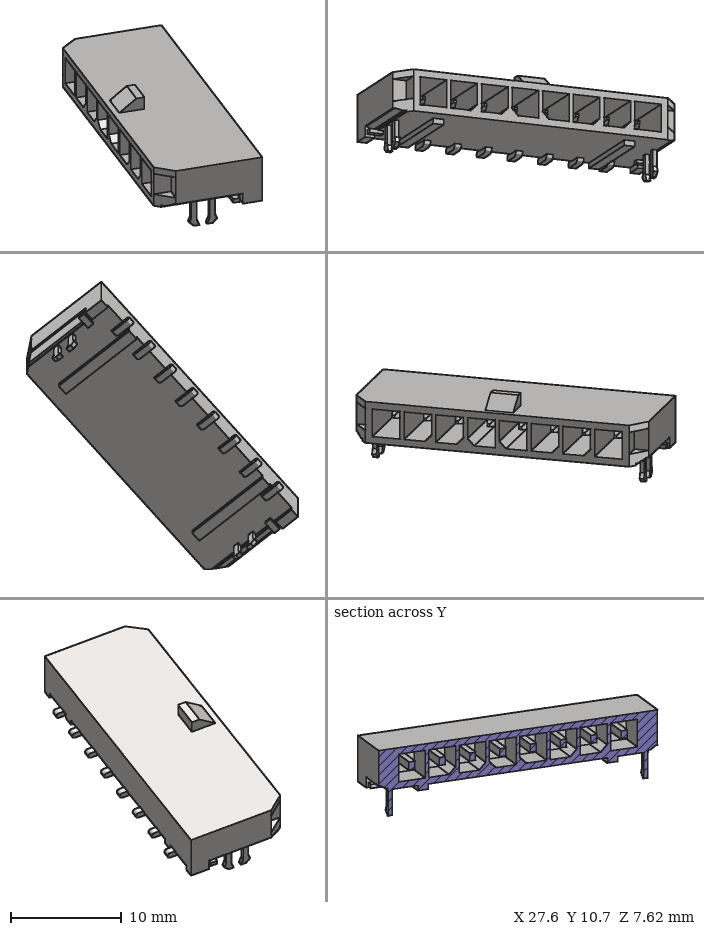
import cadquery as cq


housing_length = 27.65
housing_depth = 9.92
housing_top = 4.42
floor_z = 0.5
half_length = housing_length / 2

corner_x = 1.35
corner_y = 1.65
corner_pocket_bottom = 1.69

side_wall = 0.9
foot_front_y = 8.07
undercut_outer_z = 1.02
undercut_inner_z = 0.65
undercut_lip = 0.15
undercut_slope = 0.55

rib_offset = 9.37
rib_width = 1.02
rib_front_y = 1.58

contact_count = 8
contact_row_span = 21.0
contact_pitch = contact_row_span / (contact_count - 1)
cavity_size = 2.6
cavity_bottom = 1.15
cavity_depth = 7.75
cavity_chamfer = 0.64
cavity_top = cavity_bottom + cavity_size
chamfer_sides = [0, 1, 1, -1, -1, 1, 1, 0]

pin_width = 0.64
pin_height = 0.64
shoulder_height = 0.8
shoulder_front_y = 3.32
pin_center_z = 2.52
pin_front_y = 2.2
pin_tip_length = 0.7
pin_tip_scale = 0.4
tail_end_y = 10.7
tail_height = 0.58
leg_front_y = 8.57
bend_radius = 0.55

latch_width = 2.63
latch_height = 1.2
latch_front_y = 0.6
latch_crest_y = 2.25
latch_rear_y = 3.0

lock_thickness = 0.41
lock_outer_x = 12.85
lock_root_z = 1.1
prong_tip_z = -2.0
prong_center_y = 4.62
prong_inner_offset = 0.6
prong_width = 0.53
barb_start_z = -1.08
barb_z = -1.58
barb_reach = 0.2
prong_kink_z = -1.38
tip_shift = 0.25
tab_front_y = 7.2
tab_width = 0.64
tab_bottom_z = 0.2
tab_height = 0.4
tab_length = 0.88


def block(x_range, y_range, z_range):
    """Axis-aligned block between pairs of coordinates."""
    sizes = [end - start for start, end in (x_range, y_range, z_range)]
    corner = (x_range[0], y_range[0], z_range[0])
    return cq.Workplane("XY").box(*sizes, centered=False).translate(corner)


def side_profile(points, x_start, width):
    """Closed (y, z) outline extruded toward +X."""
    return cq.Workplane("YZ", origin=(x_start, 0, 0)).polyline(points).close().extrude(width)


def both_ends(left):
    """The left-hand shape together with its mirror image at the right."""
    return left.union(left.mirror("YZ"))


def housing():
    """Plain block with the two front corners cut off."""
    outline = [
        (-half_length, housing_depth),
        (-half_length, corner_y),
        (-half_length + corner_x, 0),
        (half_length - corner_x, 0),
        (half_length, corner_y),
        (half_length, housing_depth),
    ]
    body = cq.Workplane("XY", origin=(0, 0, floor_z)).polyline(outline).close()
    return body.extrude(housing_top - floor_z)


def corner_pocket():
    """Hollow in the cut corner, open to the front and side."""
    return block(
        (-half_length, -half_length + corner_x),
        (0, corner_y),
        (corner_pocket_bottom, cavity_top),
    )


def undercut():
    """Side recess with a sloped roof, running forward from the rear foot."""
    inner_x = -half_length + side_wall
    slope_start_x = -half_length + undercut_lip
    outline = [
        (-half_length, floor_z),
        (-half_length, undercut_outer_z),
        (slope_start_x, undercut_outer_z),
        (slope_start_x + undercut_slope, undercut_inner_z),
        (inner_x, undercut_inner_z),
        (inner_x, floor_z),
    ]
    return cq.Workplane("XZ").polyline(outline).close().extrude(-foot_front_y)


def rear_foot():
    return block(
        (-half_length, -half_length + side_wall),
        (foot_front_y, housing_depth),
        (0, floor_z),
    )


def standoff_rib():
    return block(
        (-rib_offset - rib_width / 2, -rib_offset + rib_width / 2),
        (rib_front_y, housing_depth),
        (0, floor_z),
    )


def cavity(center_x, chamfer_side):
    """Square contact cavity with an optional keyed lower corner."""
    half = cavity_size / 2
    cut = block(
        (center_x - half, center_x + half),
        (0, cavity_depth),
        (cavity_bottom, cavity_top),
    )
    if chamfer_side:
        lower_edge = ">X and <Z" if chamfer_side > 0 else "<X and <Z"
        cut = cut.edges("|Y").edges(lower_edge).chamfer(cavity_chamfer)
    return cut


def contact(center_x):
    """Tapered mating pin, vertical leg and rounded solder tail."""
    left_x = center_x - pin_width / 2
    right_x = center_x + pin_width / 2
    shank_front_y = pin_front_y + pin_tip_length
    shank = block(
        (left_x, right_x),
        (shank_front_y, shoulder_front_y),
        (pin_center_z - pin_height / 2, pin_center_z + pin_height / 2),
    )
    shoulder = block(
        (left_x, right_x),
        (shoulder_front_y, leg_front_y + tail_height),
        (pin_center_z - shoulder_height / 2, pin_center_z + shoulder_height / 2),
    )
    tip = (
        cq.Workplane("XZ", origin=(center_x, shank_front_y, pin_center_z))
        .rect(pin_width, pin_height)
        .workplane(offset=pin_tip_length)
        .rect(pin_width * pin_tip_scale, pin_height * pin_tip_scale)
        .loft()
    )
    leg = block((left_x, right_x), (leg_front_y, leg_front_y + tail_height), (0, pin_center_z))
    leg = leg.edges("<Y and <Z").fillet(bend_radius)
    tail_radius = tail_height / 2
    tail = (
        cq.Workplane("YZ", origin=(left_x, 0, 0))
        .moveTo(leg_front_y + tail_height, 0)
        .lineTo(tail_end_y - tail_radius, 0)
        .threePointArc((tail_end_y, tail_radius), (tail_end_y - tail_radius, tail_height))
        .lineTo(leg_front_y + tail_height, tail_height)
        .close()
        .extrude(pin_width)
    )
    return shank.union(tip).union(shoulder).union(leg).union(tail)


def latch():
    outline = [
        (latch_front_y, housing_top),
        (latch_crest_y, housing_top + latch_height),
        (latch_rear_y, housing_top + latch_height),
        (latch_rear_y, housing_top),
    ]
    return side_profile(outline, -latch_width / 2, latch_width)


def board_lock():
    """Two mirrored barbed prongs and a side solder tab."""
    inner = prong_inner_offset
    outer = inner + prong_width
    offsets = [
        (inner, lock_root_z),
        (outer, lock_root_z),
        (outer, barb_start_z),
        (outer + barb_reach, barb_z),
        (outer - tip_shift, prong_tip_z),
        (inner - tip_shift, prong_tip_z),
        (inner, prong_kink_z),
    ]
    lock = block(
        (-lock_outer_x - tab_length, -lock_outer_x + lock_thickness),
        (tab_front_y, tab_front_y + tab_width),
        (tab_bottom_z, tab_bottom_z + tab_height),
    )
    for side in (-1, 1):
        outline = [(prong_center_y + side * offset, z) for offset, z in offsets]
        lock = lock.union(side_profile(outline, -lock_outer_x, lock_thickness))
    return lock


result = housing().cut(both_ends(corner_pocket())).cut(both_ends(undercut()))
for end_feature in (rear_foot(), standoff_rib(), board_lock()):
    result = result.union(both_ends(end_feature))
result = result.union(latch())

for index, chamfer_side in enumerate(chamfer_sides):
    contact_x = (index - (contact_count - 1) / 2) * contact_pitch
    result = result.cut(cavity(contact_x, chamfer_side)).union(contact(contact_x))